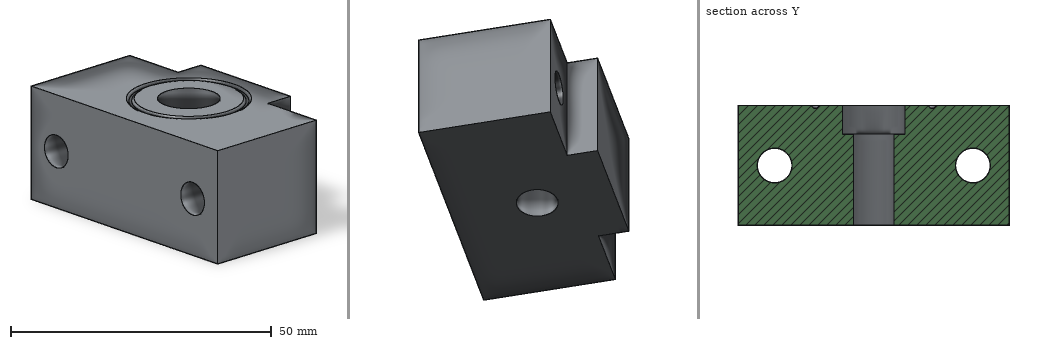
import cadquery as cq

length = 52.0
height = 23.0
overall_depth = 32.0
tab_width = 25.0
tab_depth = 6.0
body_depth = overall_depth - tab_depth

bore_y = 17.0
bore_diameter = 8.0
counterbore_diameter = 12.0
counterbore_depth = 5.5

groove_outer_radius = 12.0
groove_inner_radius = 10.5
groove_wall_run = 0.5
groove_depth = 0.5

mounting_diameter = 6.6
mounting_spacing = 38.0


def make_block():
    """T-shaped block: a rectangular body with a centred tab at the back."""
    body = cq.Workplane("XY").box(length, body_depth, height, centered=(True, False, False))
    tab = cq.Workplane("XY").box(tab_width, overall_depth, height, centered=(True, False, False))
    return body.union(tab)


def make_stepped_bore():
    """Through bore with a counterbore sunk from the top face."""
    bore = cq.Workplane("XY").center(0, bore_y).circle(bore_diameter / 2).extrude(height)
    counterbore = (
        cq.Workplane("XY", origin=(0, bore_y, height))
        .circle(counterbore_diameter / 2)
        .extrude(-counterbore_depth)
    )
    return bore.union(counterbore)


def make_ring_groove():
    """Trapezoidal groove section revolved about the bore axis."""
    section = [
        (groove_inner_radius, 0),
        (groove_inner_radius + groove_wall_run, -groove_depth),
        (groove_outer_radius - groove_wall_run, -groove_depth),
        (groove_outer_radius, 0),
    ]
    return (
        cq.Workplane("XZ", origin=(0, bore_y, height))
        .polyline(section)
        .close()
        .revolve(360, (0, 0), (0, 1))
    )


def make_mounting_holes():
    """Pair of plain holes running through the body along Y."""
    half_spacing = mounting_spacing / 2
    return (
        cq.Workplane("XZ", origin=(0, 0, height / 2))
        .pushPoints([(-half_spacing, 0), (half_spacing, 0)])
        .circle(mounting_diameter / 2)
        .extrude(-body_depth)
    )


result = (
    make_block()
    .cut(make_stepped_bore())
    .cut(make_ring_groove())
    .cut(make_mounting_holes())
)